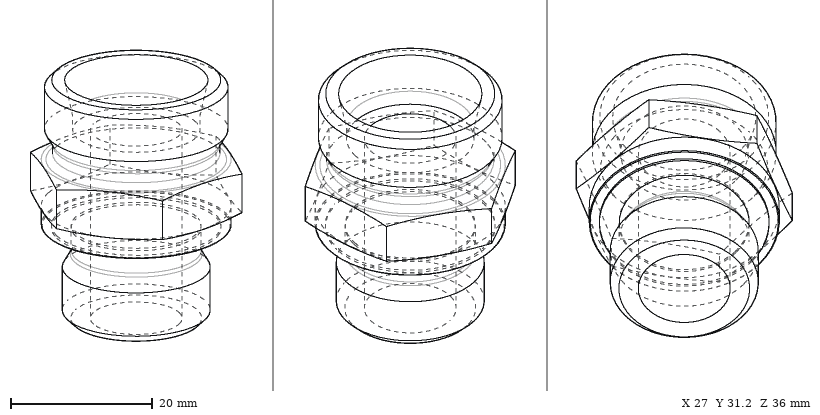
import cadquery as cq
import math

TOTAL_HEIGHT = 36.0
BORE_DIAMETER = 13.0

UPPER_THREAD_RADIUS = 26.0 / 2
UPPER_NECK_RADIUS = 23.7 / 2
UPPER_CHAMFER = 1.05
UPPER_THREAD_BOTTOM = 28.6

SOCKET_FLOOR_RADIUS = 18.0 / 2
SOCKET_MOUTH_RADIUS = 20.25 / 2
SOCKET_HALF_ANGLE = 12.0
SOCKET_DEPTH = 7.52

HEX_ACROSS_FLATS = 27.0
HEX_BOTTOM = 17.03
HEX_TOP = 24.0
HEX_CHAMFER_ANGLE = 15.0
HEX_FILLET = 0.95

COLLAR_RADIUS = 26.9 / 2
COLLAR_BOTTOM = 14.05
COLLAR_CHAMFER = 0.15

LOWER_THREAD_RADIUS = 20.95 / 2
LOWER_NECK_RADIUS = 18.4 / 2
LOWER_CHAMFER = 1.22
LOWER_THREAD_TOP = 7.78

RUNOUT_ANGLE = 30.0
RUNOUT_BLEND = 1.08

SEAL_RADIUS = 24.0 / 2
SEAL_BOTTOM = 13.68


def slope(angle):
    return math.tan(math.radians(angle))


def blended_runout(profile, neck_radius, corner_height, neck_direction):
    """Draw the blend arc between a run-out cone and its neck, with the straight line up to it.

    neck_direction is +1 if the neck lies above the cone and -1 if it lies below it.
    The outline is always drawn upwards.
    """
    angle = math.radians(RUNOUT_ANGLE)
    tangent_length = RUNOUT_BLEND * math.tan(angle / 2)
    neck_height = corner_height + neck_direction * tangent_length
    neck_end = (neck_radius, neck_height)
    middle = (
        neck_radius + RUNOUT_BLEND * (1 - math.cos(angle / 2)),
        neck_height - neck_direction * RUNOUT_BLEND * math.sin(angle / 2),
    )
    cone_end = (
        neck_radius + tangent_length * math.sin(angle),
        corner_height - neck_direction * tangent_length * math.cos(angle),
    )
    if neck_direction > 0:
        return profile.lineTo(*cone_end).threePointArc(middle, neck_end)
    return profile.lineTo(*neck_end).threePointArc(middle, cone_end)


def make_turned_body():
    """Revolve the outside of the fitting, without the hexagon."""
    lower_corner = LOWER_THREAD_TOP + (LOWER_THREAD_RADIUS - LOWER_NECK_RADIUS) / slope(RUNOUT_ANGLE)
    upper_corner = UPPER_THREAD_BOTTOM - (UPPER_THREAD_RADIUS - UPPER_NECK_RADIUS) / slope(RUNOUT_ANGLE)
    fillet_middle = HEX_FILLET * (1 - math.sqrt(0.5))

    profile = (
        cq.Workplane("XZ")
        .lineTo(LOWER_THREAD_RADIUS - LOWER_CHAMFER, 0)
        .lineTo(LOWER_THREAD_RADIUS, LOWER_CHAMFER)
        .lineTo(LOWER_THREAD_RADIUS, LOWER_THREAD_TOP)
    )
    profile = blended_runout(profile, LOWER_NECK_RADIUS, lower_corner, 1)
    profile = (
        profile.lineTo(LOWER_NECK_RADIUS, COLLAR_BOTTOM)
        .lineTo(COLLAR_RADIUS - COLLAR_CHAMFER, COLLAR_BOTTOM)
        .lineTo(COLLAR_RADIUS, COLLAR_BOTTOM + COLLAR_CHAMFER)
        .lineTo(COLLAR_RADIUS, HEX_TOP)
        .lineTo(UPPER_NECK_RADIUS + HEX_FILLET, HEX_TOP)
        .threePointArc(
            (UPPER_NECK_RADIUS + fillet_middle, HEX_TOP + fillet_middle),
            (UPPER_NECK_RADIUS, HEX_TOP + HEX_FILLET),
        )
    )
    profile = blended_runout(profile, UPPER_NECK_RADIUS, upper_corner, -1)
    return (
        profile.lineTo(UPPER_THREAD_RADIUS, UPPER_THREAD_BOTTOM)
        .lineTo(UPPER_THREAD_RADIUS, TOTAL_HEIGHT - UPPER_CHAMFER)
        .lineTo(UPPER_THREAD_RADIUS - UPPER_CHAMFER, TOTAL_HEIGHT)
        .lineTo(0, TOTAL_HEIGHT)
        .close()
        .revolve(360, (0, 0), (0, 1))
    )


def make_hexagon():
    """Hexagon with two flats facing X, its corners cut by shallow cones above and below."""
    across_corners = HEX_ACROSS_FLATS / math.cos(math.radians(30))
    corner_radius = across_corners / 2
    corner_drop = (corner_radius - COLLAR_RADIUS) * slope(HEX_CHAMFER_ANGLE)
    prism = (
        cq.Workplane("XY", origin=(0, 0, HEX_BOTTOM))
        .polygon(6, across_corners)
        .extrude(HEX_TOP - HEX_BOTTOM)
        .rotate((0, 0, 0), (0, 0, 1), 30)
    )
    chamfer_envelope = (
        cq.Workplane("XZ")
        .moveTo(0, HEX_BOTTOM)
        .lineTo(COLLAR_RADIUS, HEX_BOTTOM)
        .lineTo(corner_radius, HEX_BOTTOM + corner_drop)
        .lineTo(corner_radius, HEX_TOP - corner_drop)
        .lineTo(COLLAR_RADIUS, HEX_TOP)
        .lineTo(0, HEX_TOP)
        .close()
        .revolve(360, (0, 0), (0, 1))
    )
    return prism.intersect(chamfer_envelope)


def make_passage():
    """Through bore, opening into the conical socket at the top."""
    bore_radius = BORE_DIAMETER / 2
    cone_depth = (SOCKET_MOUTH_RADIUS - SOCKET_FLOOR_RADIUS) / slope(SOCKET_HALF_ANGLE)
    socket_floor = TOTAL_HEIGHT - SOCKET_DEPTH
    return (
        cq.Workplane("XZ")
        .lineTo(bore_radius, 0)
        .lineTo(bore_radius, socket_floor)
        .lineTo(SOCKET_FLOOR_RADIUS, socket_floor)
        .lineTo(SOCKET_FLOOR_RADIUS, TOTAL_HEIGHT - cone_depth)
        .lineTo(SOCKET_MOUTH_RADIUS, TOTAL_HEIGHT)
        .lineTo(0, TOTAL_HEIGHT)
        .close()
        .revolve(360, (0, 0), (0, 1))
    )


def make_fitting():
    return make_turned_body().union(make_hexagon()).cut(make_passage())


def make_seal():
    """Flat ring that fits the lower neck and bears on the collar."""
    return (
        cq.Workplane("XY", origin=(0, 0, SEAL_BOTTOM))
        .circle(SEAL_RADIUS)
        .circle(LOWER_NECK_RADIUS)
        .extrude(COLLAR_BOTTOM - SEAL_BOTTOM)
    )


fitting = make_fitting()
seal = make_seal()
result = cq.Compound.makeCompound([fitting.val(), seal.val()])